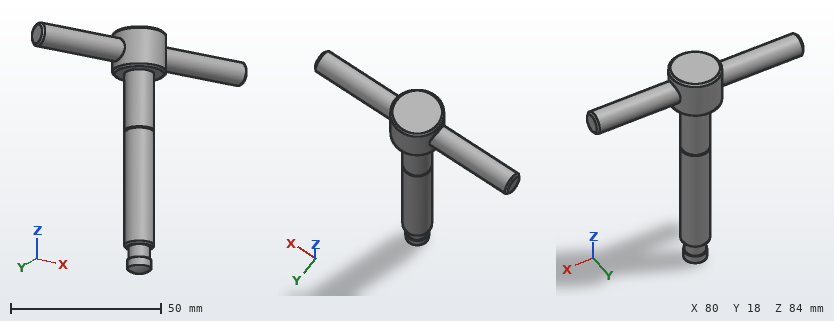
import cadquery as cq
import math

total_height = 84.0

head_radius = 9.0
head_height = 14.0
head_chamfer = 0.75

bar_radius = 4.0
bar_length = 80.0
bar_chamfer = 0.75

shaft_radius = 5.0
shaft_chamfer = 0.75

groove_drop = 20.0
groove_width = 0.5
groove_depth = 0.75

neck_radius = 3.6
neck_height = 4.5

tip_radius = 4.0
tip_height = 4.5
dome_radius = 6.0

head_bottom = total_height - head_height
bar_height = head_bottom + head_height / 2
groove_top = head_bottom - groove_drop
groove_bottom = groove_top - groove_width
shaft_bottom = tip_height + neck_height


def dome_height_at(radius):
    """Height of the domed end above its lowest point, at a distance from the axis."""
    return dome_radius - math.sqrt(dome_radius**2 - radius**2)


def make_head():
    head = cq.Workplane("XY").workplane(offset=head_bottom).circle(head_radius).extrude(head_height)
    return head.edges("%CIRCLE").chamfer(head_chamfer)


def make_shaft():
    """Shaft with a groove whose upper wall is flat and whose lower wall is a cone."""
    shaft = cq.Workplane("XY").workplane(offset=shaft_bottom).circle(shaft_radius)
    shaft = shaft.extrude(head_bottom - shaft_bottom)
    shaft = shaft.faces("<Z").edges().chamfer(shaft_chamfer)
    groove = (
        cq.Workplane("XZ")
        .moveTo(shaft_radius, groove_bottom)
        .lineTo(shaft_radius - groove_depth, groove_top)
        .lineTo(shaft_radius, groove_top)
        .close()
        .revolve(360, (0, 0, 0), (0, 1, 0))
    )
    return shaft.cut(groove)


def make_neck_and_tip():
    """Narrow neck ending in a short cylinder with a domed end, as one turned profile."""
    arc_middle_radius = tip_radius / 2
    profile = (
        cq.Workplane("XZ")
        .moveTo(0, 0)
        .threePointArc(
            (arc_middle_radius, dome_height_at(arc_middle_radius)),
            (tip_radius, dome_height_at(tip_radius)),
        )
        .lineTo(tip_radius, tip_height)
        .lineTo(neck_radius, tip_height)
        .lineTo(neck_radius, shaft_bottom)
        .lineTo(0, shaft_bottom)
        .close()
    )
    return profile.revolve(360, (0, 0, 0), (0, 1, 0))


def make_bar():
    bar = cq.Workplane("YZ", origin=(0, 0, bar_height)).circle(bar_radius).extrude(bar_length / 2, both=True)
    return bar.faces("<X or >X").edges().chamfer(bar_chamfer)


result = make_head().union(make_shaft()).union(make_neck_and_tip()).union(make_bar())